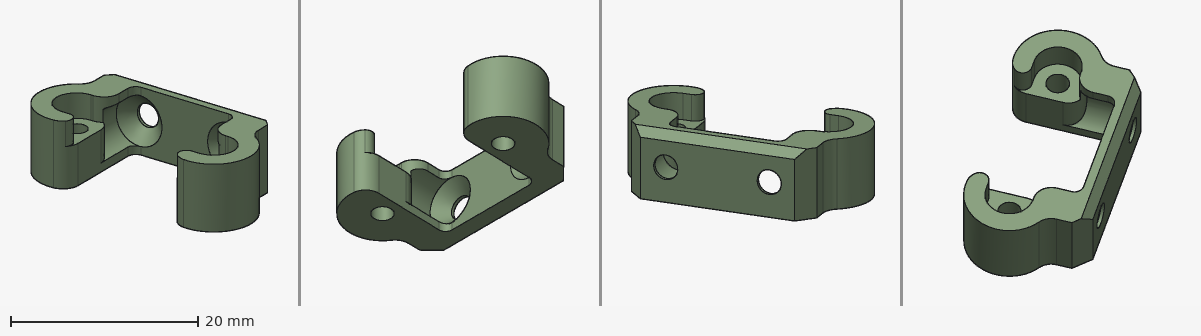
import cadquery as cq
import math

length = 27.8
depth = 14.18
height = 8.0

body_half_width = 10.75
opening_half_width = 6.73
back_wall = 2.0
back_corner_chamfer = 1.8
top_edge_chamfer = 1.0
opening_corner_radius = 1.0
neck_fillet = 2.0

end_radius = 4.9
tip_radius = 2.0
end_x = length / 2 - end_radius
end_y = end_radius - depth / 2
front_y = -depth / 2
back_y = depth / 2

pocket_radius = 2.61
pocket_floor = 5.0
pocket_flare_radius = 2.0
lip_radius = 1.0
vertical_hole_radius = 1.25

screw_x = 6.0
screw_hole_radius = 1.4
screw_head_radius = 3.0
countersink_depth = screw_head_radius - screw_hole_radius
head_clearance_length = 4.0
clearance_end_radius = 2.0


def box(x_min, x_max, y_min, y_max, z_min=0.0, z_max=height):
    """Box given by its limits."""
    size = (x_max - x_min, y_max - y_min, z_max - z_min)
    return cq.Workplane("XY").box(*size, centered=False).translate((x_min, y_min, z_min))


def post(x, y, radius, z_min=0.0):
    """Vertical cylinder from z_min to the top face."""
    return cq.Workplane("XY").center(x, y).circle(radius).extrude(height - z_min).translate((0, 0, z_min))


def both_sides(shape):
    """Shape together with its mirror image across X = 0."""
    return shape.union(shape.mirror("YZ"))


def make_back():
    """Back wall and arm roots with chamfered rear corners."""
    back = box(-body_half_width, body_half_width, end_y, back_y)
    back = back.edges("|Z and >Y").chamfer(back_corner_chamfer)
    return back.faces(">Y").edges(">Z").chamfer(top_edge_chamfer)


def make_neck_fillet():
    """Concave fillet between the arm's outer side and the right-hand round end."""
    center_x = body_half_width + neck_fillet
    reach = end_radius + neck_fillet
    center_y = end_y + math.sqrt(reach**2 - (center_x - end_x) ** 2)
    corner = (
        cq.Workplane("XY")
        .moveTo(end_x, end_y)
        .lineTo(center_x, center_y)
        .lineTo(body_half_width, center_y)
        .close()
        .extrude(height)
    )
    return corner.cut(post(center_x, center_y, neck_fillet))


def make_body():
    """Solid outline of the clip before pockets and holes."""
    beside_opening = box(opening_half_width, length / 2, front_y, end_y + end_radius)
    end = post(end_x, end_y, end_radius).intersect(beside_opening)
    end = end.edges("|Z").edges("<X").edges("<Y").fillet(tip_radius)
    end = end.union(make_neck_fillet())
    opening = box(-opening_half_width, opening_half_width, front_y, back_y - back_wall)
    opening = opening.edges("|Z and >Y").fillet(opening_corner_radius)
    return make_back().union(both_sides(end)).cut(opening)


def make_pocket():
    """Right-hand pocket, flared at its rear edge and rounded around the front lip."""
    pocket = post(end_x, end_y, pocket_radius, pocket_floor)
    pocket_back = end_y + pocket_radius
    pocket_front = end_y - pocket_radius

    tip_x = opening_half_width + tip_radius
    tip_y = end_y - math.sqrt((end_radius - tip_radius) ** 2 - (end_x - tip_x) ** 2)
    lip_y = pocket_front - lip_radius
    lip_x = tip_x - math.sqrt((tip_radius - lip_radius) ** 2 - (lip_y - tip_y) ** 2)
    touch_y = tip_y + (lip_y - tip_y) * tip_radius / (tip_radius - lip_radius)
    mouth = box(opening_half_width, end_x, touch_y, pocket_back, pocket_floor)
    mouth = mouth.cut(box(lip_x, end_x, front_y, pocket_front))
    mouth = mouth.cut(post(lip_x, lip_y, lip_radius))

    flare_x = opening_half_width + pocket_flare_radius
    flare_y = pocket_back + pocket_flare_radius
    flare = box(opening_half_width, flare_x, pocket_back, flare_y, pocket_floor)
    flare = flare.cut(post(flare_x, flare_y, pocket_flare_radius))
    return pocket.union(mouth).union(flare)


def make_screw_cut():
    """Right-hand horizontal screw hole, countersink and head clearance along the arm."""
    seat_y = back_y - back_wall
    plane = cq.Workplane("XZ", origin=(screw_x, seat_y, height / 2))
    hole = plane.circle(screw_hole_radius).extrude(-back_wall)
    clearance = plane.circle(screw_head_radius).extrude(head_clearance_length + clearance_end_radius)
    end_wall_y = seat_y - head_clearance_length
    end_wall = box(opening_half_width, length / 2, front_y, end_wall_y)
    clearance = clearance.cut(end_wall.edges("|Z and <X and >Y").fillet(clearance_end_radius))
    sink = cq.Solid.makeCone(
        screw_head_radius,
        screw_hole_radius,
        countersink_depth,
        cq.Vector(screw_x, seat_y, height / 2),
        cq.Vector(0, 1, 0),
    )
    return hole.union(clearance).union(cq.Workplane(sink))


vertical_hole = post(end_x, end_y, vertical_hole_radius)
arm_cuts = make_pocket().union(vertical_hole).union(make_screw_cut())
result = make_body().cut(both_sides(arm_cuts))